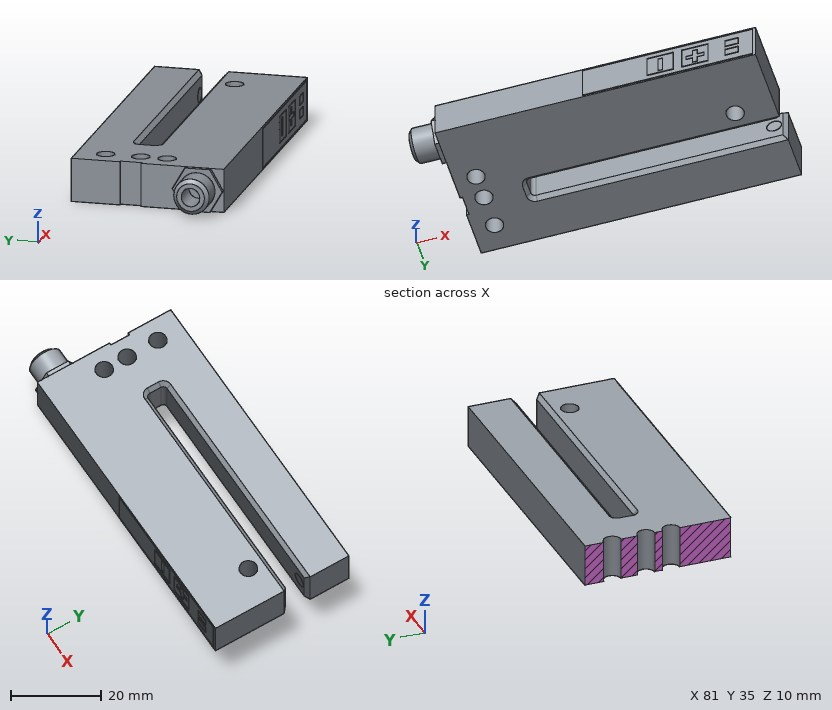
import cadquery as cq
import math

body_length = 74.1
overall_width = 35.0
body_height = 10.0

slot_start = 15.15
slot_width = 4.9
slot_center_y = 21.5
slot_corner_radius = 1.0
slot_bevel = 1.0

hole_diameter = 4.05
left_hole_x = 5.1
right_hole_x = 65.05
front_hole_y = 14.4
hole_points = [
    (left_hole_x, front_hole_y),
    (left_hole_x, 20.4),
    (left_hole_x, 28.4),
    (right_hole_x, front_hole_y),
]

notch_depth = 0.6

connector_y = 6.0
connector_length = 6.9
connector_diameter = 8.1
connector_bevel_length = 0.8
connector_bevel_radial = 0.9
bore_diameter = 4.2
nut_thickness = 1.0
nut_flat_width = 9.9

panel_thickness = 0.2
button_depth = 0.2
symbol_depth = 0.1
panel_length = 39.3
panel_height = 9.1
panel_center_x = 53.8
button_size = 6.1
minus_x = 52.1
plus_x = 60.1
symbol_length = 4.2
symbol_stroke = 1.05
lamp_x = 68.6
lamp_length = 3.1
lamp_height = 2.0
lamp_spacing = 3.15

window_diameter = 3.4
window_x = 71.1
window_depth = 0.1


def make_body():
    body_width = overall_width - panel_thickness
    return cq.Workplane("XY", origin=(0, panel_thickness, 0)).box(
        body_length, body_width, body_height, centered=(False, False, True)
    )


def rounded_slot(start, width, corner_radius, z):
    """Slot outline at height z, running past the right end of the body."""
    length = 2 * (body_length - start)
    outline = cq.Sketch().rect(length, width).vertices().fillet(corner_radius)
    return cq.Workplane("XY", origin=(body_length, slot_center_y, z)).placeSketch(outline)


def cut_slot(body):
    passage = rounded_slot(slot_start, slot_width, slot_corner_radius, -body_height / 2)
    body = body.cut(passage.extrude(body_height))
    mouth = (
        cq.Workplane("XY", origin=(0, slot_center_y, -body_height / 2))
        .moveTo(body_length, -slot_width / 2 - slot_bevel)
        .lineTo(body_length, slot_width / 2 + slot_bevel)
        .lineTo(body_length - slot_bevel, slot_width / 2)
        .lineTo(body_length - slot_bevel, -slot_width / 2)
        .close()
        .extrude(body_height)
    )
    flare = (
        rounded_slot(
            slot_start - slot_bevel,
            slot_width + 2 * slot_bevel,
            slot_corner_radius + slot_bevel,
            body_height / 2,
        )
        .extrude(-slot_bevel, taper=45)
    )
    return body.cut(flare).cut(flare.mirror("XY")).cut(mouth)


def cut_holes(body):
    holes = (
        cq.Workplane("XY", origin=(0, 0, -body_height / 2))
        .pushPoints(hole_points)
        .circle(hole_diameter / 2)
        .extrude(body_height)
    )
    return body.cut(holes)


def cut_notch(body):
    notch = cq.Workplane("XY").box(2 * notch_depth, slot_width, body_height)
    return body.cut(notch.translate((0, slot_center_y, 0)))


def add_connector(body):
    face = cq.Workplane("YZ", origin=(0, connector_y, 0))
    nut_corner_width = nut_flat_width / math.cos(math.pi / 6)
    nut = face.polygon(6, nut_corner_width).extrude(-nut_thickness)
    stub = (
        face.circle(connector_diameter / 2)
        .extrude(-connector_length)
        .faces("<X")
        .chamfer(connector_bevel_length, connector_bevel_radial)
    )
    bore = face.circle(bore_diameter / 2).extrude(-connector_length)
    return body.union(nut).union(stub).cut(bore)


def front_block(x, z, length, height, inner_y, outer_y):
    """Rectangular block at the front of the part, between two Y levels."""
    depth = inner_y - outer_y
    block = cq.Workplane("XY").box(length, depth, height)
    return block.translate((x, (inner_y + outer_y) / 2, z))


def add_panel(body):
    button_y = button_depth
    symbol_y = button_y + symbol_depth
    body = body.union(front_block(panel_center_x, 0, panel_length, panel_height, panel_thickness, 0))
    for x in (minus_x, plus_x):
        body = body.cut(front_block(x, 0, button_size, button_size, button_y, 0))
        body = body.cut(front_block(x, 0, symbol_stroke, symbol_length, symbol_y, button_y))
    body = body.cut(front_block(plus_x, 0, symbol_length, symbol_stroke, symbol_y, button_y))
    for z in (-lamp_spacing / 2, lamp_spacing / 2):
        body = body.cut(front_block(lamp_x, z, lamp_length, lamp_height, button_y, 0))
    return body


def cut_window(body):
    rear_wall_y = slot_center_y + slot_width / 2
    window = (
        cq.Workplane("XZ", origin=(window_x, rear_wall_y, 0))
        .circle(window_diameter / 2)
        .extrude(-window_depth)
    )
    return body.cut(window)


body = make_body()
body = cut_slot(body)
body = cut_holes(body)
body = cut_notch(body)
body = add_connector(body)
body = add_panel(body)
result = cut_window(body)